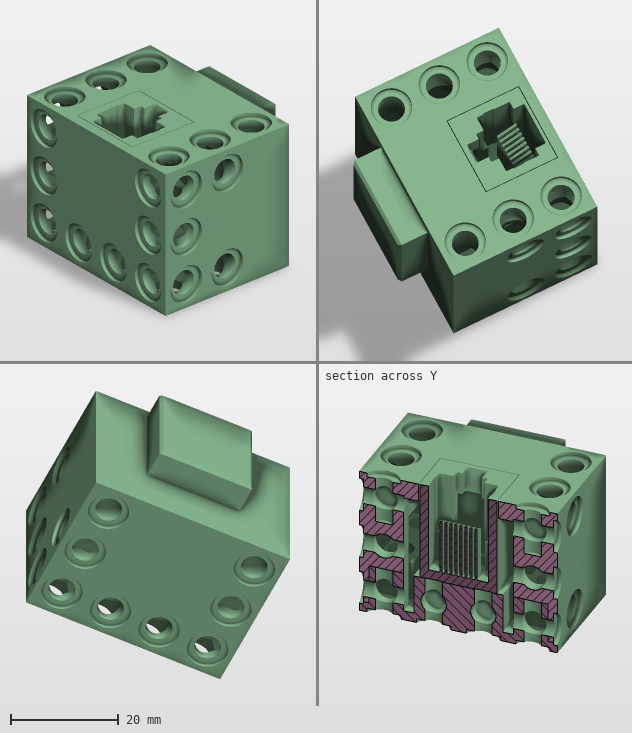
import cadquery as cq


WIDTH = 40.0
DEPTH = 30.0
HEIGHT = 30.0
WALL = 2.0
MID_X = WIDTH / 2

PITCH = 10.0
EDGE = PITCH / 2
BORE_DIA = 5.0
RECESS_DIA = 7.7
RECESS_DEPTH = 0.8
LEVEL_BORE_DEPTH = 9.0
UPRIGHT_BORE_DEPTH = PITCH
ROW_1 = EDGE
ROW_2 = EDGE + PITCH
ROW_3 = EDGE + 2 * PITCH
LEFT_COLUMN = EDGE
RIGHT_COLUMN = WIDTH - EDGE
ALL_COLUMNS = [EDGE + i * PITCH for i in range(4)]

FRONT_HOLES = [(x, ROW_1) for x in ALL_COLUMNS]
FRONT_HOLES += [(x, z) for x in (LEFT_COLUMN, RIGHT_COLUMN) for z in (ROW_2, ROW_3)]
SIDE_HOLES = [(ROW_1, ROW_1), (ROW_1, ROW_2), (ROW_1, ROW_3), (ROW_2, ROW_1), (ROW_2, ROW_3)]
TOP_HOLES = [(x, y) for x in (LEFT_COLUMN, RIGHT_COLUMN) for y in (ROW_1, ROW_2, ROW_3)]
BOTTOM_HOLES = [(x, ROW_1) for x in ALL_COLUMNS]
BOTTOM_HOLES += [(x, y) for x in (LEFT_COLUMN, RIGHT_COLUMN) for y in (ROW_2, ROW_3)]

BLOCK = LEVEL_BORE_DEPTH
BLOCK_GAP = 2.0
COVER_TOP = UPRIGHT_BORE_DEPTH
FRONT_BLOCK_BACK = 13.75

OPENING_HALF_WIDTH = 8.0
OPENING_FRONT = WALL
OPENING_BACK = 17.1
JACK_CLEARANCE = 0.15
PLUG_DEPTH = 18.0
SLOT_TRENCH_DEPTH = 18.8
ROOF_UNDERSIDE = 26.2

SLOT_HALF_WIDTH = 4.4
SLOT_FRONT = 2.7
MAIN_HALF_WIDTH = 6.0
MAIN_FRONT = 4.95
MAIN_BACK = 11.85
STEP_HALF_WIDTH = 3.1
STEP_BACK = 13.45
LATCH_HALF_WIDTH = 2.0
LATCH_BACK = 16.0
SLOT_CHAMFER = 0.2
CORNER_FILLET = 0.2
LATCH_FILLET = 0.3

GROOVE_HALF_WIDTH = 6.15
GROOVE_FRONT = 8.25
GROOVE_BACK = 10.3
STOP_INNER = 3.75
STOP_FRONT = 10.55
STOP_DROP = 12.0
RAMP_FRONT = 12.15
RAMP_BACK = 13.75
RAMP_HEIGHT = 1.6
RAMP_FALL = 0.6
LATCH_DEPTH = 4.5
TAPER_FRONT = 14.9

CONTACT_COUNT = 8
CONTACT_PITCH = 1.0
CONTACT_WIDTH = 0.5
CONTACT_FRONT = 4.8
CONTACT_BACK = 8.8
CONTACT_DROP = 6.0
CONTACT_FALL = 2.0

INSERT_SIZE = 19.0
INSERT_BOTTOM = 9.0
INSERT_FRONT = OPENING_BACK - JACK_CLEARANCE
INSERT_BACK = 36.0
INSERT_CHAMFER = 0.55
INSERT_ROOM_FRONT = 16.05


def box(x_range, y_range, z_range):
    """Box between two limits along each axis."""
    size = [limits[1] - limits[0] for limits in (x_range, y_range, z_range)]
    return cq.Workplane("XY").box(*size, centered=False).translate(
        (x_range[0], y_range[0], z_range[0])
    )


def centred_box(half_width, y_range, z_range):
    """Box that is symmetric about the middle of the width."""
    return box((MID_X - half_width, MID_X + half_width), y_range, z_range)


def prism(profile, x, half_width):
    """Outline of (y, z) points, extruded along X to both sides of the given x."""
    outline = cq.Workplane("YZ", origin=(x, 0, 0)).polyline(profile).close()
    return outline.extrude(half_width, both=True)


def recessed_bore(origin, direction, depth):
    """Blind bore with a shallow recess at its mouth."""
    start = cq.Vector(*origin)
    axis = cq.Vector(*direction)
    bore = cq.Solid.makeCylinder(BORE_DIA / 2, depth, start, axis)
    recess = cq.Solid.makeCylinder(RECESS_DIA / 2, RECESS_DEPTH, start, axis)
    return bore.fuse(recess)


def all_bores():
    """Every mounting hole of the enclosure, as one cutting tool."""
    bores = [recessed_bore((x, 0, z), (0, 1, 0), LEVEL_BORE_DEPTH) for x, z in FRONT_HOLES]
    bores += [recessed_bore((0, y, z), (1, 0, 0), LEVEL_BORE_DEPTH) for y, z in SIDE_HOLES]
    bores += [recessed_bore((WIDTH, y, z), (-1, 0, 0), LEVEL_BORE_DEPTH) for y, z in SIDE_HOLES]
    bores += [recessed_bore((x, y, HEIGHT), (0, 0, -1), UPRIGHT_BORE_DEPTH) for x, y in TOP_HOLES]
    bores += [recessed_bore((x, y, 0), (0, 0, 1), UPRIGHT_BORE_DEPTH) for x, y in BOTTOM_HOLES]
    return cq.Workplane(obj=bores[0].fuse(*bores[1:]))


def make_housing(bores):
    """Shell open at the bottom, with hole blocks along its front corners and upper sides."""
    inside_x = (WALL, WIDTH - WALL)
    inside_y = (WALL, DEPTH - WALL)
    middle_x = (BLOCK, WIDTH - BLOCK)
    insert_z = (INSERT_BOTTOM, INSERT_BOTTOM + INSERT_SIZE)

    shell = box((0, WIDTH), (0, DEPTH), (WALL, HEIGHT))
    lower_room = box(inside_x, inside_y, (WALL, COVER_TOP))
    front_room = box(middle_x, (WALL, BLOCK), (COVER_TOP, ROOF_UNDERSIDE))
    rear_room = box(inside_x, (BLOCK, DEPTH - WALL), (COVER_TOP, HEIGHT - BLOCK))
    upper_room = box(middle_x, (BLOCK, DEPTH - WALL), (HEIGHT - BLOCK, ROOF_UNDERSIDE))
    opening = centred_box(OPENING_HALF_WIDTH, (OPENING_FRONT, OPENING_BACK), (COVER_TOP, HEIGHT))
    insert_room = box(middle_x, (INSERT_ROOM_FRONT, DEPTH - WALL), insert_z)
    insert_window = centred_box(INSERT_SIZE / 2, (DEPTH - WALL, DEPTH), insert_z)

    for room in (lower_room, front_room, rear_room, upper_room, opening, insert_room, insert_window):
        shell = shell.cut(room)
    return shell.cut(bores)


def make_cover(bores):
    """Bottom plate with blocks that stand inside the housing walls and carry the lowest holes."""
    block_z = (WALL, COVER_TOP)
    after_gap = BLOCK + BLOCK_GAP
    cover = box((0, WIDTH), (0, DEPTH), (0, WALL))
    for side_x in ((WALL, BLOCK), (WIDTH - BLOCK, WIDTH - WALL)):
        cover = cover.union(box(side_x, (WALL, BLOCK), block_z))
        cover = cover.union(box(side_x, (after_gap, DEPTH - WALL), block_z))
    cover = cover.union(box((after_gap, WIDTH - after_gap), (WALL, FRONT_BLOCK_BACK), block_z))
    return cover.cut(bores)


def plug_cavity():
    """Stepped cavity for the plug, with the tapered latch notch at its back."""
    depth_z = (HEIGHT - PLUG_DEPTH, HEIGHT)
    slot = centred_box(SLOT_HALF_WIDTH, (SLOT_FRONT, MAIN_BACK), depth_z)
    slot = slot.edges("|Z and <Y").chamfer(SLOT_CHAMFER)
    trench = centred_box(
        SLOT_HALF_WIDTH, (SLOT_FRONT, CONTACT_FRONT), (HEIGHT - SLOT_TRENCH_DEPTH, HEIGHT)
    )
    trench = trench.edges("|Z and <Y").chamfer(SLOT_CHAMFER)
    main = centred_box(MAIN_HALF_WIDTH, (MAIN_FRONT, MAIN_BACK), depth_z)
    main = main.edges("|Z and >Y").fillet(CORNER_FILLET)
    grooves = centred_box(GROOVE_HALF_WIDTH, (GROOVE_FRONT, GROOVE_BACK), depth_z)
    step = centred_box(STEP_HALF_WIDTH, (MAIN_FRONT, STEP_BACK), depth_z)
    step = step.edges("|Z and >Y").fillet(CORNER_FILLET)
    hollow = centred_box(
        MAIN_HALF_WIDTH, (STEP_BACK, LATCH_BACK), (HEIGHT - PLUG_DEPTH, HEIGHT - LATCH_DEPTH)
    )
    latch_bottom = HEIGHT - LATCH_DEPTH
    latch_profile = [
        (RAMP_FRONT, HEIGHT),
        (LATCH_BACK, HEIGHT),
        (TAPER_FRONT, latch_bottom),
        (RAMP_FRONT, latch_bottom),
    ]
    latch = prism(latch_profile, MID_X, LATCH_HALF_WIDTH)
    latch = latch.faces(">Y").edges("not |X").fillet(LATCH_FILLET)
    cavity = slot
    for space in (trench, main, grooves, step, latch, hollow):
        cavity = cavity.union(space)
    return cavity


def latch_ramp():
    """Sloping ledge behind the main part of the plug cavity."""
    floor = HEIGHT - PLUG_DEPTH
    profile = [
        (RAMP_FRONT, floor),
        (RAMP_BACK, floor),
        (RAMP_BACK, floor + RAMP_HEIGHT - RAMP_FALL),
        (RAMP_FRONT, floor + RAMP_HEIGHT),
    ]
    return prism(profile, MID_X, STEP_HALF_WIDTH)


def contact(x):
    """Sloping contact spring that falls from the front of the plug cavity into its depth."""
    top = HEIGHT - CONTACT_DROP
    profile = [
        (CONTACT_FRONT, top),
        (CONTACT_BACK, top - CONTACT_FALL),
        (CONTACT_BACK, HEIGHT - PLUG_DEPTH),
        (CONTACT_FRONT, HEIGHT - PLUG_DEPTH),
    ]
    return prism(profile, x, CONTACT_WIDTH / 2)


def make_jack():
    """Jack with its plug cavity, latch ramp, contact springs and plug stops."""
    jack = centred_box(
        OPENING_HALF_WIDTH - JACK_CLEARANCE,
        (OPENING_FRONT + JACK_CLEARANCE, OPENING_BACK - JACK_CLEARANCE),
        (COVER_TOP, HEIGHT),
    )
    jack = jack.cut(plug_cavity()).union(latch_ramp())
    for i in range(CONTACT_COUNT):
        jack = jack.union(contact(MID_X + (i - (CONTACT_COUNT - 1) / 2) * CONTACT_PITCH))
    stop_z = (HEIGHT - PLUG_DEPTH, HEIGHT - STOP_DROP)
    for side in (-1, 1):
        stop_x = sorted((MID_X + side * STOP_INNER, MID_X + side * GROOVE_HALF_WIDTH))
        jack = jack.union(box(stop_x, (STOP_FRONT, MAIN_BACK), stop_z))
    return jack


def make_insert():
    """Square block that fills the window in the rear wall and stands out behind it."""
    insert = centred_box(
        INSERT_SIZE / 2, (INSERT_FRONT, INSERT_BACK), (INSERT_BOTTOM, INSERT_BOTTOM + INSERT_SIZE)
    )
    return insert.faces(">Y").chamfer(INSERT_CHAMFER)


bores = all_bores()
housing = make_housing(bores)
cover = make_cover(bores)
jack = make_jack()
rear_insert = make_insert()

result = cq.Compound.makeCompound(
    [body.solids().val() for body in (housing, cover, jack, rear_insert)]
)